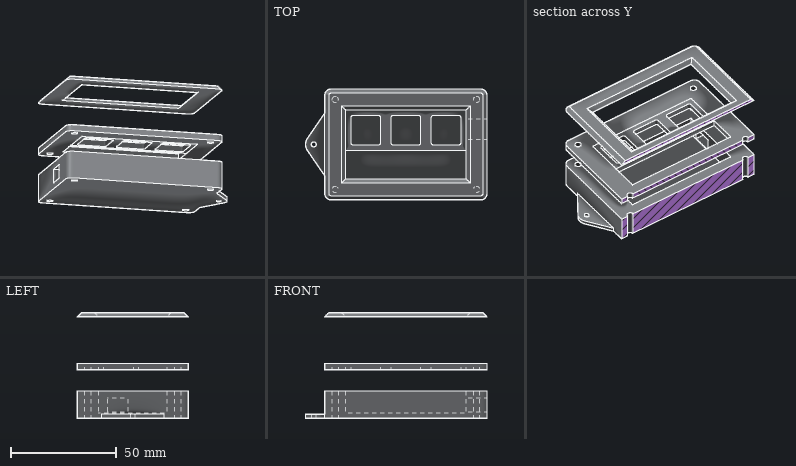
import cadquery as cq
import math

body_length = 76.9
body_width = 52.5
corner_radius = 3.0

box_height = 13.0
plate_bottom = 22.95
plate_thickness = 3.0
frame_top = 50.0
frame_thickness = 2.0

key_count = 3
key_pitch = 19.0
window_length = key_count * key_pitch
window_width = 32.5

key_opening = 14.0
key_corner_radius = 1.0

screw_diameter = 2.9
screw_inset = 5.0

cavity_floor = 2.6
slot_floor = 3.0
slot_top = 9.5
slot_width = 9.7
slot_center_y = 7.1

tab_reach = 9.1
tab_half_width = 14.9
tab_thickness = 2.0
tab_tip_radius = 5.0
tab_hole_diameter = 2.2
tab_hole_from_tip = 3.95


def rounded_slab(bottom, thickness):
    """Block with the common footprint and rounded vertical corners."""
    slab = cq.Workplane("XY", origin=(0, 0, bottom)).rect(body_length, body_width).extrude(thickness)
    return slab.edges("|Z").fillet(corner_radius)


def window_cutter(bottom, height):
    """Block that cuts the common rectangular window."""
    return cq.Workplane("XY", origin=(0, 0, bottom)).rect(window_length, window_width).extrude(height)


def screw_cutters(bottom, height):
    """Four cylinders at the screw positions."""
    spacing_x = body_length - 2 * screw_inset
    spacing_y = body_width - 2 * screw_inset
    corners = cq.Workplane("XY", origin=(0, 0, bottom)).rect(spacing_x, spacing_y, forConstruction=True)
    return corners.vertices().circle(screw_diameter / 2).extrude(height)


def make_tab():
    """Triangular tab whose straight sides run tangent to a round tip."""
    wall_x = -body_length / 2
    tip_x = wall_x - tab_reach
    tip_center_x = tip_x + tab_tip_radius
    root_dx = wall_x - tip_center_x
    root_distance = math.hypot(root_dx, tab_half_width)
    tangent_angle = math.atan2(tab_half_width, root_dx) + math.acos(tab_tip_radius / root_distance)
    tangent_x = tip_center_x + tab_tip_radius * math.cos(tangent_angle)
    tangent_y = tab_tip_radius * math.sin(tangent_angle)
    tab = (
        cq.Workplane("XY")
        .moveTo(wall_x, tab_half_width)
        .lineTo(tangent_x, tangent_y)
        .threePointArc((tip_x, 0), (tangent_x, -tangent_y))
        .lineTo(wall_x, -tab_half_width)
        .close()
        .extrude(tab_thickness)
    )
    hole = cq.Workplane("XY").center(tip_x + tab_hole_from_tip, 0).circle(tab_hole_diameter / 2)
    return tab.cut(hole.extrude(tab_thickness))


def make_box():
    """Open box with screw holes, a cable slot and the mounting tab."""
    wall_thickness = (body_length - window_length) / 2
    slot_height = slot_top - slot_floor
    slot = cq.Workplane("XY").box(wall_thickness, slot_width, slot_height, centered=(False, True, False))
    slot = slot.translate((window_length / 2, slot_center_y, slot_floor))
    box = rounded_slab(0, box_height)
    box = box.cut(window_cutter(cavity_floor, box_height - cavity_floor))
    box = box.cut(screw_cutters(0, box_height))
    return box.cut(slot).union(make_tab())


def make_plate():
    """Flat plate with the window and screw holes."""
    plate = rounded_slab(plate_bottom, plate_thickness)
    plate = plate.cut(window_cutter(plate_bottom, plate_thickness))
    return plate.cut(screw_cutters(plate_bottom, plate_thickness))


def make_key_panel():
    """Panel one key cell deep that fills the +Y part of the plate window."""
    center_y = (window_width - key_pitch) / 2
    base = cq.Workplane("XY", origin=(0, center_y, plate_bottom))
    openings = (
        base.rarray(key_pitch, key_pitch, key_count, 1)
        .rect(key_opening, key_opening)
        .extrude(plate_thickness)
        .edges("|Z")
        .fillet(key_corner_radius)
    )
    return base.rect(window_length, key_pitch).extrude(plate_thickness).cut(openings)


def make_frame():
    """Thin frame; outer sides slope inwards and the window flares out towards the top."""
    bottom = frame_top - frame_thickness
    bevel = frame_thickness
    top_length = body_length - 2 * bevel
    top_width = body_width - 2 * bevel
    outline = cq.Sketch().rect(body_length, body_width).vertices().fillet(corner_radius)
    top_outline = cq.Sketch().rect(top_length, top_width).vertices().fillet(corner_radius - bevel)
    blank = cq.Workplane("XY", origin=(0, 0, bottom)).placeSketch(
        outline, top_outline.moved(cq.Location(cq.Vector(0, 0, frame_thickness)))
    ).loft()
    opening = (
        cq.Workplane("XY", origin=(0, 0, bottom))
        .rect(window_length, window_width)
        .workplane(offset=frame_thickness)
        .rect(window_length + 2 * bevel, window_width + 2 * bevel)
        .loft(ruled=True)
    )
    return blank.cut(opening)


box = make_box()
plate = make_plate()
key_panel = make_key_panel()
frame = make_frame()

result = cq.Compound.makeCompound([box.val(), plate.val(), key_panel.val(), frame.val()])